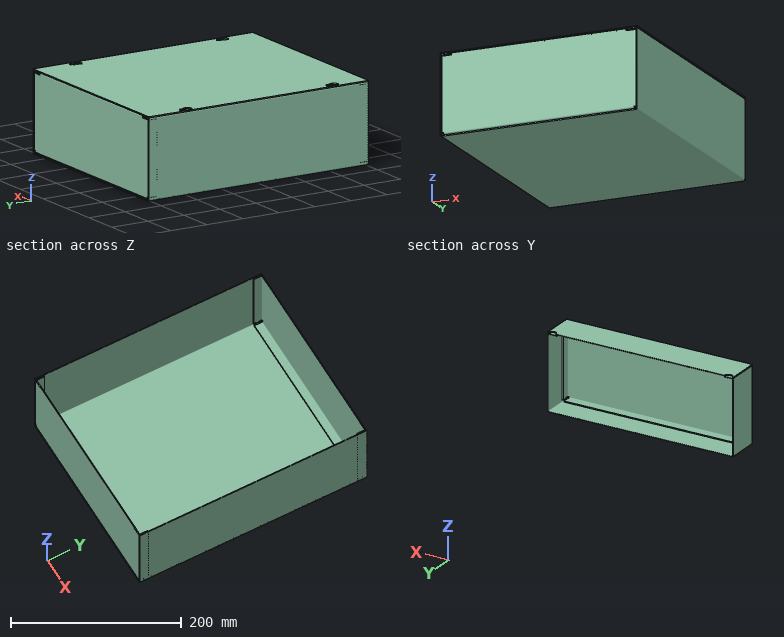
import cadquery as cq

width = 254.0
length = 304.8
height = 103.0

sheet = 1.45
outer_bend = 2.0
inner_bend = outer_bend - sheet

wrapper_height = height - sheet
lip_width = 12.5

panel_width = width - 2 * sheet
panel_base = 1.98
panel_height = wrapper_height - panel_base
panel_flange_depth = 12.2
corner_relief = 2.5
lip_clearance = 1.8
lip_notch_width = lip_width + lip_clearance - sheet
lip_notch_depth = 2.7

keyhole_inset = 6.7
keyhole_spacing = 203.3
keyhole_middle_y = -7.0
entry_radius = 5.2
slot_radius = 3.0
slot_travel = 7.3
screw_hole_radius = 2.3


def box_on(base_z, size_x, size_y, size_z):
    """Box centred on the Z axis and standing on the height base_z."""
    return (
        cq.Workplane("XY", origin=(0, 0, base_z))
        .box(size_x, size_y, size_z, centered=(True, True, False))
    )


def keyhole_points():
    """Entry centres of the four keyholes."""
    x = width / 2 - keyhole_inset
    return [
        (side * x, keyhole_middle_y + end * keyhole_spacing / 2)
        for side in (-1, 1)
        for end in (-1, 1)
    ]


def make_wrapper():
    """Floor, two side walls and two inward lips, folded from one sheet."""
    outside = box_on(0, width, length, wrapper_height).edges("|Y").fillet(outer_bend)
    inside = (
        box_on(sheet, panel_width, length, wrapper_height - 2 * sheet)
        .edges("|Y")
        .fillet(inner_bend)
    )
    opening = box_on(wrapper_height / 2, width - 2 * lip_width, length, wrapper_height)
    screw_points = [(x, y + slot_travel) for x, y in keyhole_points()]
    screw_holes = (
        cq.Workplane("XY", origin=(0, 0, wrapper_height - sheet))
        .pushPoints(screw_points)
        .circle(screw_hole_radius)
        .extrude(sheet)
    )
    return outside.cut(inside).cut(opening).cut(screw_holes)


def make_keyhole(x, y):
    """Cutter for one keyhole: round entry with a narrow slot toward +Y."""
    entry_center = cq.Workplane("XY", origin=(x, y, wrapper_height))
    entry = entry_center.circle(entry_radius).extrude(sheet)
    slot = (
        entry_center.center(0, slot_travel / 2)
        .slot2D(slot_travel + 2 * slot_radius, 2 * slot_radius, 90)
        .extrude(sheet)
    )
    return entry.union(slot)


def make_cover():
    """Flat plate with four keyholes, resting on the lips and end panels."""
    cover = box_on(wrapper_height, width, length, sheet)
    for x, y in keyhole_points():
        cover = cover.cut(make_keyhole(x, y))
    return cover


def make_end_panel():
    """Pan for the -Y end: a face with four flanges bent inward and open corners."""
    front_y = -length / 2
    from_front = (True, False, False)
    pan = (
        cq.Workplane("XY", origin=(0, front_y, panel_base))
        .box(panel_width, panel_flange_depth, panel_height, centered=from_front)
        .faces("<Y")
        .edges()
        .fillet(outer_bend)
    )
    cavity = (
        cq.Workplane("XY", origin=(0, front_y + sheet, panel_base + sheet))
        .box(panel_width - 2 * sheet, panel_flange_depth, panel_height - 2 * sheet, centered=from_front)
        .faces("<Y")
        .edges()
        .fillet(inner_bend)
    )
    panel = pan.cut(cavity)

    around_corner = (True, False, True)
    for side in (-1, 1):
        corner_x = side * panel_width / 2
        bottom_notch = (
            cq.Workplane("XY", origin=(corner_x, front_y, panel_base))
            .box(2 * corner_relief, panel_flange_depth, 2 * corner_relief, centered=around_corner)
        )
        lip_notch = (
            cq.Workplane("XY", origin=(corner_x, front_y, wrapper_height))
            .box(2 * lip_notch_width, panel_flange_depth, 2 * lip_notch_depth, centered=around_corner)
        )
        panel = panel.cut(bottom_notch).cut(lip_notch)
    return panel


wrapper = make_wrapper()
cover = make_cover()
end_panels = [make_end_panel().rotate((0, 0, 0), (0, 0, 1), turn) for turn in (0, 180)]

result = cq.Compound.makeCompound(
    [wrapper.val(), cover.val(), *[panel.val() for panel in end_panels]]
)